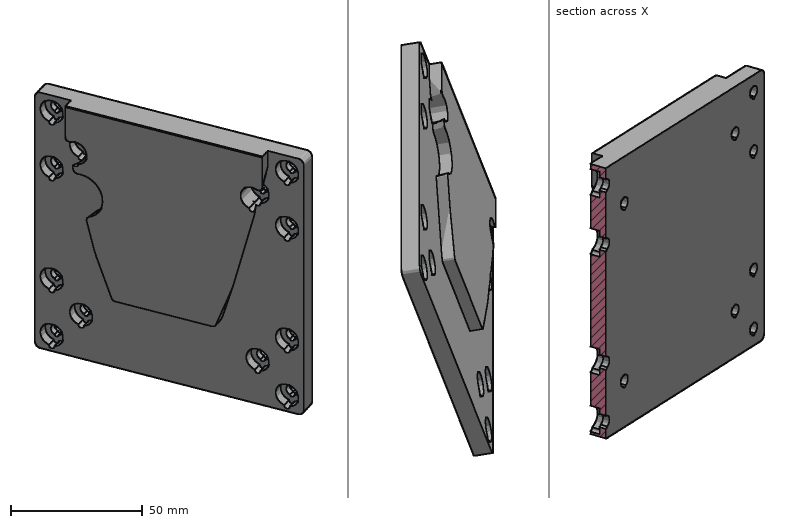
import cadquery as cq
plate_size = 114.3
plate_thickness = 7.2
corner_radius = 2.5
top_z = plate_size / 2

block_thickness = 4.9
shoulder_half_width = 41.8
kink_half_width = 29.1
kink_z = -5.0
toe_half_width = 21.7
toe_z = -24.3
side_slope = 0.265
undercut = 2.0
block_edge_radius = 1.7
cutout_edge_radius = 1.7
top_edge_chamfer = 0.3

scallop_x = -35.3
scallop_z = 19.1
scallop_radius = 9.4

outer_pitch = 50.0
inner_pitch = 0.75 * outer_pitch
hole_radius = 2.4
counterbore_radius = 4.8
counterbore_depth = 4.2
hole_notch_radius = 0.8
hole_notch_drop = 2.2
counterbore_notch_radius = 1.1
hole_positions = [
    (side * outer_pitch, level * outer_pitch)
    for side in (-1, 1)
    for level in (-1, -0.5, 0.5, 1)
]
hole_positions += [
    (side * inner_pitch, level * inner_pitch)
    for side in (-1, 1)
    for level in (-1, 1)
]

front_y = -plate_thickness - block_thickness


def front_plane(y):
    """XZ workplane at the given y, extruding toward -Y."""
    return cq.Workplane("XZ", origin=(0, y, 0))


def make_plate():
    plate = front_plane(0).rect(plate_size, plate_size).extrude(plate_thickness)
    return plate.edges("|Y").fillet(corner_radius)


def side_envelope():
    """Undercut side walls, continued above and below the block."""
    def half_width(z):
        return kink_half_width + side_slope * (z - kink_z)

    def outline(inset):
        low = half_width(-top_z) - inset
        high = half_width(top_z) - inset
        return [(-low, -top_z), (low, -top_z), (high, top_z), (-high, top_z)]

    return (
        front_plane(-plate_thickness)
        .polyline(outline(undercut)).close()
        .workplane(offset=block_thickness)
        .polyline(outline(0)).close()
        .loft(ruled=True)
    )


def make_block():
    toe_slope = (kink_half_width - toe_half_width) / (kink_z - toe_z)
    shoulder_z = toe_z + (shoulder_half_width - toe_half_width) / toe_slope
    outline = [
        (-toe_half_width, toe_z),
        (toe_half_width, toe_z),
        (shoulder_half_width, shoulder_z),
        (shoulder_half_width, top_z),
        (-shoulder_half_width, top_z),
        (-shoulder_half_width, shoulder_z),
    ]
    block = front_plane(-plate_thickness).polyline(outline).close().extrude(block_thickness)
    block = block.intersect(side_envelope())
    below_top = cq.selectors.BoxSelector(
        (-plate_size, front_y, -top_z), (plate_size, -plate_thickness, top_z - block_thickness)
    )
    block = block.edges("not(#Y)").edges(below_top).fillet(block_edge_radius)
    return block


def cylinders(start_y, length, radius, drop=0):
    """Cylinders toward -Y at all hole positions, lowered by drop."""
    centers = [(x, z - drop) for x, z in hole_positions]
    return front_plane(start_y).pushPoints(centers).circle(radius).extrude(length)


def make_scallop():
    return (
        front_plane(-plate_thickness)
        .center(scallop_x, scallop_z).circle(scallop_radius).extrude(block_thickness)
    )


def round_cutout_edges(block):
    """Round the corners where the cutouts break through the block sides."""
    lowest_z = scallop_z - scallop_radius - cutout_edge_radius
    highest_z = inner_pitch + counterbore_radius

    def is_cutout_corner(edge):
        center = edge.Center()
        spans_thickness = edge.BoundingBox().ylen > 0.9 * block_thickness
        return spans_thickness and abs(center.x) > kink_half_width and lowest_z < center.z < highest_z

    corners = [edge for edge in block.edges().vals() if is_cutout_corner(edge)]
    return block.newObject(corners).fillet(cutout_edge_radius)


floor_y = counterbore_depth - plate_thickness
bore_length = counterbore_depth + block_thickness
counterbores = cylinders(floor_y, bore_length, counterbore_radius)
counterbore_notches = cylinders(floor_y, bore_length, counterbore_notch_radius, counterbore_radius)
holes = cylinders(0, plate_thickness, hole_radius)
hole_notches = cylinders(0, plate_thickness, hole_notch_radius, hole_notch_drop)

block = make_block().cut(make_scallop()).cut(counterbores)
block = round_cutout_edges(block)
block = block.faces("<Y").edges(">Z").chamfer(top_edge_chamfer)
result = make_plate().cut(counterbores).union(block)
result = result.cut(counterbore_notches).cut(holes).cut(hole_notches)